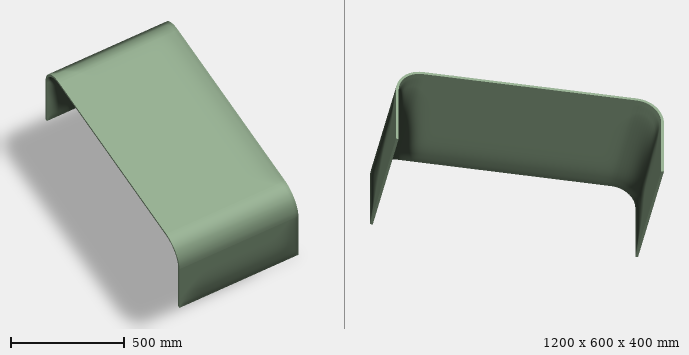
import cadquery as cq

length = 1200.0
width = 600.0
height = 400.0
wall = 12.0
outer_radius = 120.0
inner_radius = outer_radius - wall


def arch_block(block_length, block_height, corner_radius):
    """Block standing on Z = 0 with its two upper long edges rounded."""
    return (
        cq.Workplane("XY")
        .box(block_length, width, block_height, centered=(True, True, False))
        .edges("|Y and >Z")
        .fillet(corner_radius)
    )


outer = arch_block(length, height, outer_radius)
inner = arch_block(length - 2 * wall, height - wall, inner_radius)
result = outer.cut(inner)